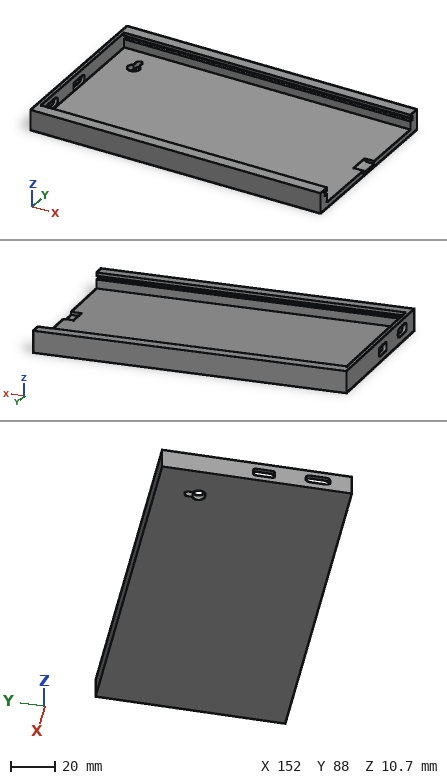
import cadquery as cq

length = 152.0
width = 88.0
height = 10.7

floor_thickness = 3.0
end_wall = 2.0
rail_width = 6.0

lip_thickness = 1.6
groove_height = 1.8
groove_depth = 2.0

keyhole_x = -length / 2 + 15.0
keyhole_head_y = width / 2 - 20.0
keyhole_head_diameter = 6.0
keyhole_neck_y = width / 2 - 15.0
keyhole_neck_width = 3.0

opening_height = 4.2
square_opening_width = 10.0
square_opening_y = -3.25
square_opening_z = 5.05
square_opening_radius = 1.3
round_opening_width = 11.5
round_opening_y = -28.3
round_opening_z = 5.6

notch_length = 5.0
notch_width = 10.0
notch_depth = 1.5

inner_width = width - 2 * rail_width
open_end_x = length / 2
cavity_start_x = -length / 2 + end_wall
groove_bottom = height - lip_thickness - groove_height


def channel(start_x, channel_width, bottom, channel_height):
    """Block centred on Y that runs from start_x out through the open end."""
    return (
        cq.Workplane("XY", origin=(start_x, 0, bottom))
        .box(open_end_x - start_x, channel_width, channel_height, centered=(False, True, False))
    )


def keyhole():
    neck_length = keyhole_neck_y - keyhole_head_y
    head = (
        cq.Workplane("XY")
        .center(keyhole_x, keyhole_head_y)
        .circle(keyhole_head_diameter / 2)
        .extrude(floor_thickness)
    )
    neck = (
        cq.Workplane("XY")
        .center(keyhole_x, keyhole_head_y + neck_length / 2)
        .slot2D(neck_length + keyhole_neck_width, keyhole_neck_width, 90)
        .extrude(floor_thickness)
    )
    return head.union(neck)


def end_wall_plane(y, z):
    return cq.Workplane("YZ", origin=(-length / 2, y, z))


def square_opening():
    return (
        end_wall_plane(square_opening_y, square_opening_z)
        .rect(square_opening_width, opening_height)
        .extrude(end_wall)
        .edges("|X")
        .fillet(square_opening_radius)
    )


def round_opening():
    return (
        end_wall_plane(round_opening_y, round_opening_z)
        .slot2D(round_opening_width, opening_height)
        .extrude(end_wall)
    )


def latch_notch():
    """Notch in the floor surface whose inner end is a concave quarter round."""
    start_x = open_end_x - notch_length
    notch_bottom = floor_thickness - notch_depth
    return (
        cq.Workplane("XZ")
        .moveTo(start_x, floor_thickness)
        .radiusArc((start_x + notch_depth, notch_bottom), -notch_depth)
        .lineTo(open_end_x, notch_bottom)
        .lineTo(open_end_x, floor_thickness)
        .close()
        .extrude(notch_width / 2, both=True)
    )


result = (
    cq.Workplane("XY")
    .box(length, width, height, centered=(True, True, False))
    .cut(channel(cavity_start_x, inner_width, floor_thickness, height - floor_thickness))
    .cut(channel(cavity_start_x, inner_width + 2 * groove_depth, groove_bottom, groove_height))
    .cut(keyhole())
    .cut(square_opening())
    .cut(round_opening())
    .cut(latch_notch())
)